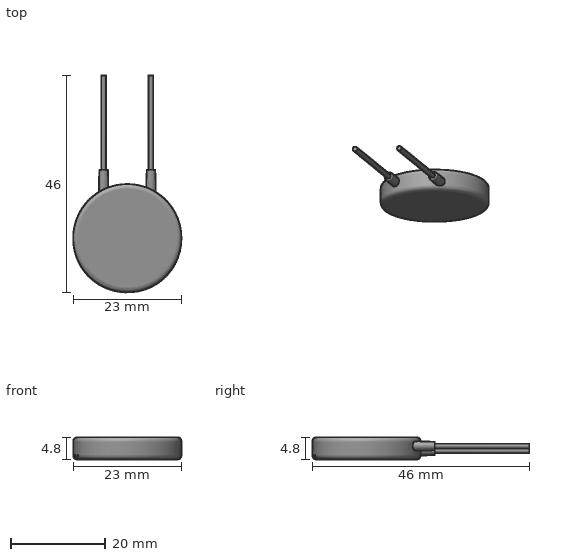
import cadquery as cq

body_diameter = 23.0
body_height = 4.8
edge_radius = 1.0

lead_offset_x = 5.0
lead_offset_z = 0.5
wire_diameter = 1.05
collar_radius = 1.0
sleeve_tip_radius = 0.9
sleeve_edge_radius = 0.15

overall_length = 46.0
wire_end = overall_length - body_diameter / 2
sleeve_end = 14.5
collar_end = 12.35
lead_start = 8.3


def make_body():
    disc = cq.Workplane("XY").circle(body_diameter / 2).extrude(body_height / 2, both=True)
    return disc.edges().fillet(edge_radius)


def make_lead():
    """Straight collar, slightly tapered sleeve with a rounded tip, and wire, turned about Y."""
    sleeve = (
        cq.Workplane("XY")
        .moveTo(0, lead_start)
        .lineTo(collar_radius, lead_start)
        .lineTo(collar_radius, collar_end)
        .lineTo(sleeve_tip_radius, sleeve_end)
        .lineTo(0, sleeve_end)
        .close()
        .revolve(360, (0, 0, 0), (0, 1, 0))
        .faces(">Y")
        .edges()
        .fillet(sleeve_edge_radius)
    )
    wire_start = cq.Vector(0, lead_start, 0)
    wire = cq.Solid.makeCylinder(wire_diameter / 2, wire_end - lead_start, wire_start, cq.Vector(0, 1, 0))
    return sleeve.union(wire)


lead = make_lead()
result = make_body()
for side in (-1, 1):
    result = result.union(lead.translate((side * lead_offset_x, 0, side * lead_offset_z)))